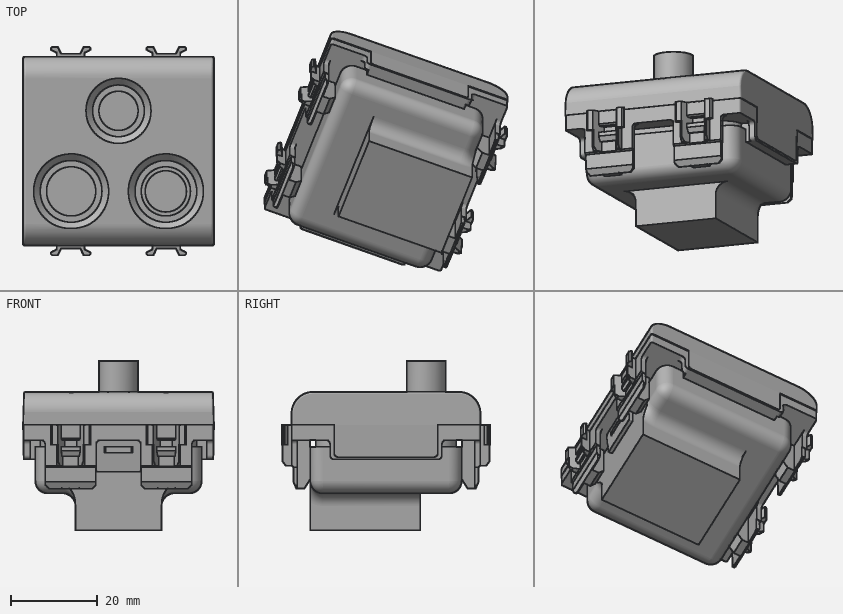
import cadquery as cq

TOTAL_HEIGHT = 39.2
COVER_TOP = 32.05
COVER_ARC_END = 27.3
COVER_BOTTOM = 24.35
FRAME_BOTTOM = 20.85
HOUSING_TOP = 19.3
HOUSING_BOTTOM = 8.55

OVERALL_WIDTH = 44.2
COVER_TOP_WIDTH = 43.7
COVER_LENGTH = 43.7
COVER_ARC_REACH = 5.05
SIDE_EDGE_RADIUS = 0.5
FRAME_WIDTH = 43.8
FRAME_LENGTH = 43.6

HOUSING_WIDTH = 38.5
HOUSING_LENGTH = 35.05
HOUSING_RADIUS = 2.9
NECK_WIDTH = 36.3
NECK_LENGTH = 32.5
NECK_RADIUS = 4.35
BLOCK_WIDTH = 19.98
BLOCK_BACK = 7.95
HOUSING_FRONT = -HOUSING_LENGTH / 2

WING_BOTTOM = 16.4
WING_THICKNESS = 1.5
WING_LENGTH = 25.85
WING_CORNER_RADIUS = 0.95
PANEL_MARGIN_SIDE = 0.9
PANEL_MARGIN_BOTTOM = 0.55
PANEL_LENGTH = WING_LENGTH - 2 * PANEL_MARGIN_SIDE
PANEL_BOTTOM_WIDTH = 43.9
PANEL_BOTTOM = WING_BOTTOM + PANEL_MARGIN_BOTTOM

OPENING_BEVEL = 1.55
BUTTON_OFFSET_X = 10.95
BUTTON_Y = -9.3
BUTTON_OPENING_RADIUS = 7.15
BUTTON_RADIUS = 5.7
BUTTON_RECESS = 0.25
BUTTON_TOP = COVER_TOP - BUTTON_RECESS
STEPPED_BUTTON_RADIUS = 4.8
STEPPED_BUTTON_SHOULDER = 26.55
PLUNGER_Y = 9.3
PLUNGER_OPENING_RADIUS = 6.0
PLUNGER_RADIUS = 4.55

TONGUE_WIDTH = 10.25
TONGUE_BOTTOM = 13.5
TONGUE_TOP_PROJECTION = 1.4
TONGUE_BOTTOM_PROJECTION = 0.9
TONGUE_CORNER_RADIUS = 0.3
SLOT_WIDTH = 6.65
SLOT_FLOOR_WIDTH = 5.8
SLOT_BOTTOM = 17.95
SLOT_TOP = 19.35
SLOT_DEPTH = 0.85

CLIP_OFFSET_X = 11.05
LEG_WIDTH = 11.85
LEG_FOOT_WIDTH = 11.7
LEG_INNER = 20.55
LEG_OUTER = FRAME_LENGTH / 2
LEG_FOOT_OUTER = 21.4
LEG_STEP_TOP = 14.95
LEG_STEP_BOTTOM = 14.55
LEG_BEVEL_TOP = 11.2
LEG_BOTTOM = 9.65
LEG_TIP_OUTER = 20.75
LEG_ROOT_RADIUS = 0.9
FOOT_CORNER_CHAMFER = 0.8
RIB_WIDTH = 4.05
RIB_BEVEL_DEPTH = 1.35
RIB_BEVEL_TOP = 11.75
CLIP_OUTER = 24.12
ARM_OUTER = 23.95
ARM_HALF_WIDTH = 3.25
ARM_BOTTOM = 14.9
ARM_BEVEL_TOP = 15.9
ARM_BEVEL_DEPTH = 0.75
BARB_BOTTOM = 19.75
BARB_HALF_WIDTH = 4.65
BARB_ROOT = 22.7
BARB_SHOULDER = 23.45
BARB_CHAMFER = 0.4
CHANNEL_FLOOR = 21.65
CHANNEL_HALF_WIDTH = 1.8
CHANNEL_FLARE = 0.49
BRIDGE_OUTER = 22.55
BRIDGE_LIP_OUTER = 22.2
BRIDGE_BOTTOM = 21.35
WINDOW_TOP = 20.9
WINDOW_FLOOR = 20.95
TOOTH_OUTER = BRIDGE_OUTER
TOOTH_HEEL_OUTER = 22.1
TOOTH_TOP = 19.35
TOOTH_NOSE = 18.45
TOOTH_BOTTOM = 17.2
CROSSPIECE_HALF_WIDTH = 2.25

OVERLAP = 0.5


def box(x0, x1, y0, y1, z0, z1):
    return cq.Workplane("XY").box(x1 - x0, y1 - y0, z1 - z0, centered=False).translate((x0, y0, z0))


def slab(width, length, z0, z1):
    return box(-width / 2, width / 2, -length / 2, length / 2, z0, z1)


def plan_prism(points, z0, z1):
    return cq.Workplane("XY").workplane(offset=z0).polyline(points).close().extrude(z1 - z0)


def profile_prism(points, half_width):
    """Extrude a (y, z) outline symmetrically about the plane x = 0."""
    return cq.Workplane("YZ").polyline(points).close().extrude(half_width, both=True)


def cylinder(x, y, radius, z0, z1):
    return cq.Workplane("XY").workplane(offset=z0).center(x, y).circle(radius).extrude(z1 - z0)


def make_cover():
    """Cover with rounded front and back, slightly leaning sides and softened side rims."""
    half_length = COVER_LENGTH / 2
    arc_start = half_length - COVER_ARC_REACH
    cover = (
        cq.Workplane("YZ")
        .moveTo(-half_length, COVER_BOTTOM)
        .lineTo(half_length, COVER_BOTTOM)
        .lineTo(half_length, COVER_ARC_END)
        .radiusArc((arc_start, COVER_TOP), -COVER_ARC_REACH)
        .lineTo(-arc_start, COVER_TOP)
        .radiusArc((-half_length, COVER_ARC_END), -COVER_ARC_REACH)
        .close()
        .extrude(OVERALL_WIDTH / 2, both=True)
    )
    leaning_sides = (
        cq.Workplane("XZ")
        .polyline([
            (-OVERALL_WIDTH / 2, COVER_BOTTOM),
            (OVERALL_WIDTH / 2, COVER_BOTTOM),
            (COVER_TOP_WIDTH / 2, COVER_TOP),
            (-COVER_TOP_WIDTH / 2, COVER_TOP),
        ])
        .close()
        .extrude(COVER_LENGTH, both=True)
    )
    cover = cover.intersect(leaning_sides)
    return cover.faces("<X or >X").edges("not <Z").fillet(SIDE_EDGE_RADIUS)


def make_frame():
    frame = slab(FRAME_WIDTH, FRAME_LENGTH, FRAME_BOTTOM, COVER_BOTTOM)
    return frame.edges("|Z").fillet(SIDE_EDGE_RADIUS)


def cut_opening(cover, x, y, radius):
    """Round opening through the cover with a 45 degree bevel at its mouth."""
    bevel = cq.Workplane("XY").add(cq.Solid.makeCone(
        radius, radius + OPENING_BEVEL, OPENING_BEVEL,
        pnt=cq.Vector(x, y, COVER_TOP - OPENING_BEVEL)))
    return cover.cut(cylinder(x, y, radius, COVER_BOTTOM, COVER_TOP)).cut(bevel)


def make_block_blend():
    """Concave blend between the block's +X side and the housing's underside and rounded front edge."""
    r = HOUSING_RADIUS
    side = BLOCK_WIDTH / 2
    axis_y = HOUSING_FRONT + r
    axis_z = HOUSING_BOTTOM + r
    section = (
        cq.Sketch()
        .segment((side - OVERLAP, HOUSING_BOTTOM - r), (side, HOUSING_BOTTOM - r))
        .arc((side + r, HOUSING_BOTTOM - r), r, 180, -90)
        .segment((side + r, HOUSING_BOTTOM), (side + r, HOUSING_BOTTOM + OVERLAP))
        .segment((side - OVERLAP, HOUSING_BOTTOM + OVERLAP))
        .close()
        .assemble()
    )
    start = cq.Workplane("XZ", origin=(0, axis_y, 0)).placeSketch(section)
    straight = start.extrude(axis_y - BLOCK_BACK)
    around_front = start.revolve(90, (0, axis_z, 0), (-1, axis_z, 0))
    in_front_of_face = box(0, HOUSING_WIDTH, HOUSING_FRONT - r, HOUSING_FRONT, 0, HOUSING_TOP)
    return straight.union(around_front.cut(in_front_of_face))


def make_housing():
    """Rounded housing with its neck and the rear block blended into its underside."""
    half_block = BLOCK_WIDTH / 2
    housing = slab(HOUSING_WIDTH, HOUSING_LENGTH, HOUSING_BOTTOM, HOUSING_TOP)
    housing = housing.edges("|Z").fillet(HOUSING_RADIUS).faces("<Z").edges().fillet(HOUSING_RADIUS)
    block = box(-half_block, half_block, HOUSING_FRONT, BLOCK_BACK, 0, HOUSING_TOP)
    blend = make_block_blend()
    neck = slab(NECK_WIDTH, NECK_LENGTH, HOUSING_TOP, FRAME_BOTTOM).edges("|Z").fillet(NECK_RADIUS)
    return housing.union(block).union(blend).union(blend.mirror("YZ")).union(neck)


def make_wing():
    """Wing on the +X side, with its raised panel and the core joining it to the housing."""
    outer = FRAME_WIDTH / 2
    inner = outer - WING_THICKNESS
    half = WING_LENGTH / 2
    r = WING_CORNER_RADIUS
    wing = (
        cq.Workplane("YZ").workplane(offset=inner)
        .moveTo(-half - r, FRAME_BOTTOM)
        .radiusArc((-half, FRAME_BOTTOM - r), r)
        .lineTo(-half, WING_BOTTOM + r)
        .radiusArc((-half + r, WING_BOTTOM), -r)
        .lineTo(half - r, WING_BOTTOM)
        .radiusArc((half, WING_BOTTOM + r), -r)
        .lineTo(half, FRAME_BOTTOM - r)
        .radiusArc((half + r, FRAME_BOTTOM), r)
        .close()
        .extrude(WING_THICKNESS)
    )
    panel = box(inner, OVERALL_WIDTH / 2, -PANEL_LENGTH / 2, PANEL_LENGTH / 2, PANEL_BOTTOM, COVER_BOTTOM)
    panel = panel.edges("|X and <Z").fillet(WING_CORNER_RADIUS)
    tapered_face = (
        cq.Workplane("XZ")
        .polyline([
            (inner, PANEL_BOTTOM),
            (PANEL_BOTTOM_WIDTH / 2, PANEL_BOTTOM),
            (OVERALL_WIDTH / 2, COVER_BOTTOM),
            (inner, COVER_BOTTOM),
        ])
        .close()
        .extrude(PANEL_LENGTH, both=True)
    )
    panel = panel.intersect(tapered_face)
    core = box(0, inner, -PANEL_LENGTH / 2, PANEL_LENGTH / 2, WING_BOTTOM, FRAME_BOTTOM)
    return wing.union(panel).union(core)


def make_tongue():
    """Wedge-shaped tongue on the housing's front with a shallow slot whose ends slope inwards."""
    mouth = HOUSING_FRONT - TONGUE_TOP_PROJECTION
    floor = mouth + SLOT_DEPTH
    tongue = profile_prism([
        (HOUSING_FRONT, FRAME_BOTTOM),
        (mouth, FRAME_BOTTOM),
        (HOUSING_FRONT - TONGUE_BOTTOM_PROJECTION, TONGUE_BOTTOM),
        (HOUSING_FRONT, TONGUE_BOTTOM),
    ], TONGUE_WIDTH / 2)
    tongue = tongue.edges("|Y and <Z").fillet(TONGUE_CORNER_RADIUS)
    slot = plan_prism([
        (-SLOT_WIDTH / 2, mouth),
        (SLOT_WIDTH / 2, mouth),
        (SLOT_FLOOR_WIDTH / 2, floor),
        (-SLOT_FLOOR_WIDTH / 2, floor),
    ], SLOT_BOTTOM, SLOT_TOP)
    return tongue.cut(slot)


def make_leg():
    """Leg below the frame: stepped plate, flared root, bevelled foot and a rib to the housing."""
    half = LEG_WIDTH / 2
    foot_half = LEG_FOOT_WIDTH / 2
    r = LEG_ROOT_RADIUS
    c = FOOT_CORNER_CHAMFER
    profile = profile_prism([
        (-LEG_INNER, FRAME_BOTTOM),
        (-LEG_OUTER, FRAME_BOTTOM),
        (-LEG_OUTER, LEG_STEP_TOP),
        (-LEG_FOOT_OUTER, LEG_STEP_BOTTOM),
        (-LEG_FOOT_OUTER, LEG_BEVEL_TOP),
        (-LEG_TIP_OUTER, LEG_BOTTOM),
        (-LEG_INNER, LEG_BOTTOM),
    ], LEG_WIDTH)
    face = (
        cq.Workplane("XZ")
        .moveTo(-half - r, FRAME_BOTTOM)
        .radiusArc((-half, FRAME_BOTTOM - r), r)
        .lineTo(-half, LEG_STEP_BOTTOM)
        .lineTo(-foot_half, LEG_STEP_BOTTOM)
        .lineTo(-foot_half, LEG_BOTTOM + c)
        .lineTo(-foot_half + c, LEG_BOTTOM)
        .lineTo(foot_half - c, LEG_BOTTOM)
        .lineTo(foot_half, LEG_BOTTOM + c)
        .lineTo(foot_half, LEG_STEP_BOTTOM)
        .lineTo(half, LEG_STEP_BOTTOM)
        .lineTo(half, FRAME_BOTTOM - r)
        .radiusArc((half + r, FRAME_BOTTOM), r)
        .close()
        .extrude(CLIP_OUTER)
    )
    rib = profile_prism([
        (HOUSING_FRONT, FRAME_BOTTOM),
        (-LEG_INNER, FRAME_BOTTOM),
        (-LEG_INNER, LEG_BOTTOM),
        (HOUSING_FRONT - RIB_BEVEL_DEPTH, LEG_BOTTOM),
        (HOUSING_FRONT, RIB_BEVEL_TOP),
    ], RIB_WIDTH / 2)
    return profile.intersect(face).union(rib)


def make_arms():
    """Both spring arms as one block, with outward barbs along their upper part."""
    arms = profile_prism([
        (-LEG_INNER, COVER_BOTTOM),
        (-ARM_OUTER, COVER_BOTTOM),
        (-ARM_OUTER, ARM_BEVEL_TOP),
        (-ARM_OUTER + ARM_BEVEL_DEPTH, ARM_BOTTOM),
        (-LEG_INNER, ARM_BOTTOM),
    ], ARM_HALF_WIDTH)
    barb_side = [
        (ARM_HALF_WIDTH, -BARB_ROOT),
        (BARB_HALF_WIDTH, -BARB_SHOULDER),
        (BARB_HALF_WIDTH, -CLIP_OUTER + BARB_CHAMFER),
        (BARB_HALF_WIDTH - BARB_CHAMFER, -CLIP_OUTER),
    ]
    other_side = [(-x, y) for x, y in reversed(barb_side)]
    return arms.union(plan_prism(barb_side + other_side, BARB_BOTTOM, COVER_BOTTOM))


def make_channel(floor, z0, z1):
    """Void between the arms, widening outwards from the given floor depth."""
    mouth = CLIP_OUTER + OVERLAP
    floor_half = CHANNEL_HALF_WIDTH + CHANNEL_FLARE * (floor - CHANNEL_FLOOR)
    mouth_half = CHANNEL_HALF_WIDTH + CHANNEL_FLARE * (mouth - CHANNEL_FLOOR)
    return plan_prism([
        (-floor_half, -floor),
        (floor_half, -floor),
        (mouth_half, -mouth),
        (-mouth_half, -mouth),
    ], z0, z1)


def make_clip():
    """One clip on the -Y side, centred on x = 0."""
    bridge = profile_prism([
        (-LEG_INNER, COVER_BOTTOM),
        (-BRIDGE_OUTER, COVER_BOTTOM),
        (-BRIDGE_OUTER, BRIDGE_BOTTOM),
        (-BRIDGE_LIP_OUTER, WINDOW_TOP),
        (-LEG_INNER, WINDOW_TOP),
    ], CROSSPIECE_HALF_WIDTH)
    tooth = profile_prism([
        (-LEG_INNER, TOOTH_TOP),
        (-TOOTH_OUTER, TOOTH_TOP),
        (-TOOTH_OUTER, TOOTH_NOSE),
        (-TOOTH_HEEL_OUTER, TOOTH_BOTTOM),
        (-LEG_INNER, TOOTH_BOTTOM),
    ], CROSSPIECE_HALF_WIDTH)
    return (
        make_leg()
        .union(make_arms())
        .cut(make_channel(CHANNEL_FLOOR, LEG_BOTTOM, COVER_BOTTOM))
        .cut(make_channel(WINDOW_FLOOR, TOOTH_TOP, WINDOW_TOP))
        .union(bridge)
        .union(tooth)
    )


body = make_cover()
body = cut_opening(body, 0, PLUNGER_Y, PLUNGER_OPENING_RADIUS)
for side in (-1, 1):
    body = cut_opening(body, side * BUTTON_OFFSET_X, BUTTON_Y, BUTTON_OPENING_RADIUS)

body = body.union(cylinder(0, PLUNGER_Y, PLUNGER_RADIUS, COVER_BOTTOM, TOTAL_HEIGHT))
body = body.union(cylinder(-BUTTON_OFFSET_X, BUTTON_Y, BUTTON_RADIUS, COVER_BOTTOM, BUTTON_TOP))
body = body.union(cylinder(BUTTON_OFFSET_X, BUTTON_Y, BUTTON_RADIUS, COVER_BOTTOM, STEPPED_BUTTON_SHOULDER))
body = body.union(cylinder(BUTTON_OFFSET_X, BUTTON_Y, STEPPED_BUTTON_RADIUS, COVER_BOTTOM, BUTTON_TOP))

body = body.union(make_frame())
body = body.union(make_housing()).union(make_tongue())
wing = make_wing()
body = body.union(wing).union(wing.mirror("YZ"))

clip = make_clip()
for side in (-1, 1):
    placed_clip = clip.translate((side * CLIP_OFFSET_X, 0, 0))
    body = body.union(placed_clip).union(placed_clip.mirror("XZ"))

result = body